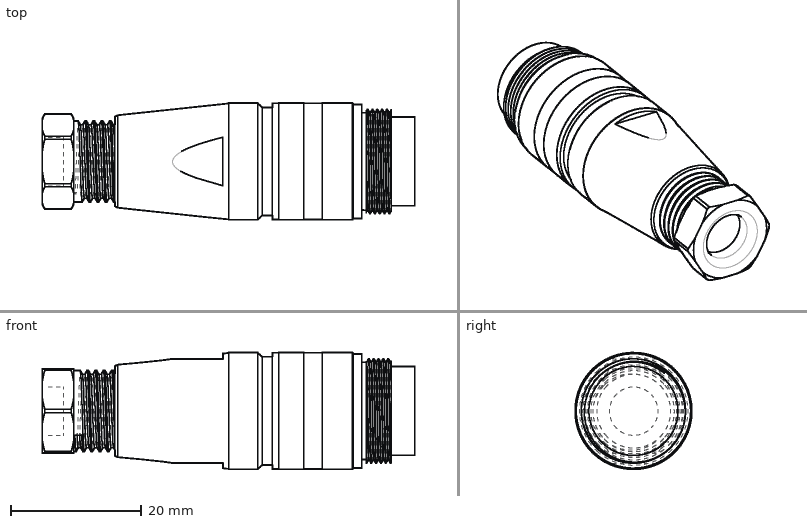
import cadquery as cq
import math

length = 57.3

nut_length = 4.85
nut_across_flats = 12.95
nut_corner_diameter = 14.65
nut_face_diameter = 13.2
nut_chamfer_length = 0.4
bore_diameter = 7.45
bore_mouth_radius = 1.15
bore_depth = 3.2

neck_diameter = 12.5
neck_root_diameter = 11.35
neck_pitch = 1.25
neck_root_flat = 0.4
neck_groove_start = 5.55
neck_groove_start_angle = -53

sleeve_start = 11.2
sleeve_end = 28.65
sleeve_edge_length = 0.45
sleeve_start_diameter = 13.8
sleeve_taper_diameter = 14.25
sleeve_end_diameter = 17.9
sleeve_flat_distance = 16.05
sleeve_flat_end = 27.8

body_diameter = 18.0
band_diameter = 17.95
groove_diameter = 16.7
groove_bevel_start = 33.1
groove_start = 33.8
groove_end = 35.4
rim_end = 36.4
band_start = 40.2
band_end = 43.05
body_bevel_start = 47.7
collar_start = 47.85
collar_end = 49.15
collar_diameter = 17.6

ring_start = 49.8
ring_end = 53.7
ring_diameter = 16.05
ring_root_diameter = 15.0
ring_pitch = 0.75
ring_root_flat = 0.085
ring_groove_start = 49.1
ring_groove_start_angle = 180
nose_diameter = 13.7

thread_half_angle = math.radians(30)
thread_clearance = 0.05


def cylinder(diameter, start, end):
    """Cylinder around the X axis between two x positions."""
    return cq.Workplane("YZ").workplane(offset=start).circle(diameter / 2).extrude(end - start)


def revolved(profile):
    """Solid of revolution around X; the profile lists (x, diameter) from left to right."""
    points = [(profile[0][0], 0)]
    points += [(x, diameter / 2) for x, diameter in profile]
    points += [(profile[-1][0], 0)]
    return cq.Workplane("XY").polyline(points).close().revolve(360, (0, 0, 0), (1, 0, 0))


def thread_groove(diameter, root_diameter, pitch, root_flat, start, end, start_angle):
    """Right-handed helical groove around X; start_angle is counted from the lowest point."""
    root = root_diameter / 2
    outer = diameter / 2 + thread_clearance
    root_half = root_flat / 2
    outer_half = root_half + (outer - root) * math.tan(thread_half_angle)
    path = cq.Wire.makeHelix(pitch, end - start, root)
    groove = (
        cq.Workplane("XZ")
        .polyline([(root, -root_half), (outer, -outer_half), (outer, outer_half), (root, root_half)])
        .close()
        .sweep(cq.Workplane(path), isFrenet=True)
    )
    groove = groove.rotate((0, 0, 0), (0, 0, 1), start_angle)
    return groove.rotate((0, 0, 0), (0, 1, 0), 90).translate((start, 0, 0))


def make_nut():
    across_corners = nut_across_flats / math.cos(math.radians(30))
    hexagon = cq.Workplane("YZ").polygon(6, across_corners).extrude(nut_length)
    envelope = revolved([
        (0, nut_face_diameter),
        (nut_chamfer_length, nut_corner_diameter),
        (nut_length - nut_chamfer_length, nut_corner_diameter),
        (nut_length, nut_face_diameter),
    ])
    bore = cylinder(bore_diameter, 0, bore_depth)
    nut = hexagon.intersect(envelope).cut(bore)
    bore_mouth = cq.selectors.RadiusNthSelector(0)
    return nut.faces("<X").edges("%CIRCLE").edges(bore_mouth).fillet(bore_mouth_radius)


def make_neck():
    groove_stop = sleeve_start + neck_pitch
    neck = cylinder(neck_diameter, nut_length, groove_stop + neck_pitch)
    return neck.cut(thread_groove(
        neck_diameter, neck_root_diameter, neck_pitch, neck_root_flat,
        neck_groove_start, groove_stop, neck_groove_start_angle,
    ))


def make_sleeve():
    sleeve = revolved([
        (sleeve_start, sleeve_start_diameter),
        (sleeve_start + sleeve_edge_length, sleeve_taper_diameter),
        (sleeve_end, sleeve_end_diameter),
    ])
    flat_length = sleeve_flat_end - sleeve_start
    for side in (1, -1):
        cutter = cq.Workplane("XY").box(flat_length, body_diameter, body_diameter).translate((
            sleeve_start + flat_length / 2, 0, side * (sleeve_flat_distance + body_diameter) / 2,
        ))
        sleeve = sleeve.cut(cutter)
    return sleeve


def make_body():
    return revolved([
        (sleeve_end, body_diameter),
        (groove_bevel_start, body_diameter),
        (groove_start, groove_diameter),
        (groove_end, groove_diameter),
        (groove_end, band_diameter),
        (rim_end, band_diameter),
        (rim_end, body_diameter),
        (band_start, body_diameter),
        (band_start, band_diameter),
        (band_end, band_diameter),
        (band_end, body_diameter),
        (body_bevel_start, body_diameter),
        (collar_start, collar_diameter),
        (collar_end, collar_diameter),
        (collar_end, ring_root_diameter),
        (ring_start, ring_root_diameter),
    ])


def make_ring():
    ring = cylinder(ring_diameter, ring_start, ring_end)
    return ring.cut(thread_groove(
        ring_diameter, ring_root_diameter, ring_pitch, ring_root_flat,
        ring_groove_start, ring_end + ring_pitch, ring_groove_start_angle,
    ))


nose = cylinder(nose_diameter, ring_end, length)

result = (
    make_nut()
    .union(make_neck())
    .union(make_sleeve())
    .union(make_body())
    .union(make_ring())
    .union(nose)
)